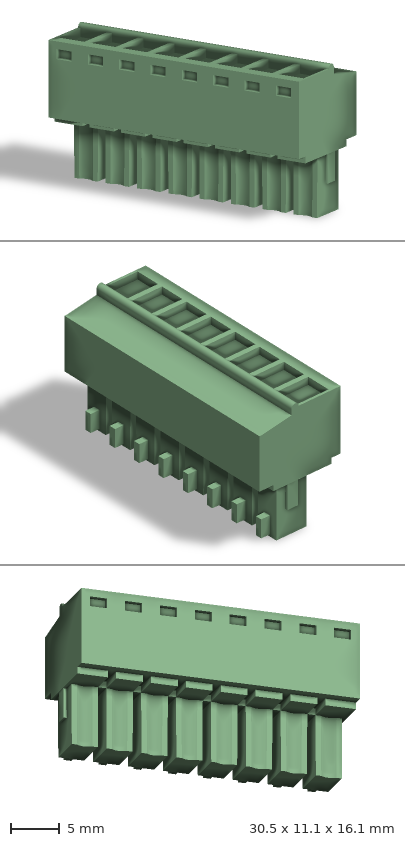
import cadquery as cq


POLES = 8
LENGTH = 30.48
PITCH = LENGTH / POLES
POLE_CENTRES = [(i - (POLES - 1) / 2) * PITCH for i in range(POLES)]

DEPTH = 11.1
LIP_BOTTOM = 6.6
HOUSING_BOTTOM = 7.35
BACK_TOP = 14.15
SLOPE_TOP = 14.85
OVERALL_HEIGHT = 16.1
BEAD_RADIUS = 0.5
DECK_TOP = OVERALL_HEIGHT - BEAD_RADIUS
LIP_FRONT = 1.22
LIP_BACK = 9.17
BACK_LAND = 0.37
BEAD_BACK = 6.7
BEAD_FRONT = BEAD_BACK - 2 * BEAD_RADIUS

POCKET_WIDTH = 3.17
POCKET_FRONT = 1.37
POCKET_DEPTH = 0.98
WINDOW_WIDTH = 1.85
WINDOW_BOTTOM = 13.72
WINDOW_HEIGHT = 1.07
WINDOW_DEPTH = 0.65

PLUG_FRONT = 4.25
PLUG_BACK = 8.35
PLUG_TOP_WIDTH = 2.93
GROOVE_TOP_WIDTH = 1.75
GROOVE_DEPTH = 0.27
TAPER = 0.1

LATCH_WIDTH = 0.82
LATCH_BACK = 9.55
LATCH_ROOT = PLUG_BACK - 0.3
LATCH_BOTTOM = 0.27
LATCH_TOP = 2.6

RIB_END_GAP = 0.12
RIB_FRONT = 5.7
RIB_BACK = 7.15
RIB_BOTTOM = 3.38


def block(x_range, y_range, z_range):
    """Box between the given limits along each axis."""
    (x0, x1), (y0, y1), (z0, z1) = x_range, y_range, z_range
    return cq.Workplane("XY").box(x1 - x0, y1 - y0, z1 - z0, centered=False).translate((x0, y0, z0))


def span(centre, width):
    return (centre - width / 2, centre + width / 2)


def housing_blank():
    """Side profile with the lip, the sloped back and the round bead, run along the row."""
    return (
        cq.Workplane("YZ", origin=(-LENGTH / 2, 0, 0))
        .moveTo(0, HOUSING_BOTTOM)
        .lineTo(LIP_FRONT, HOUSING_BOTTOM)
        .lineTo(LIP_FRONT, LIP_BOTTOM)
        .lineTo(LIP_BACK, LIP_BOTTOM)
        .lineTo(LIP_BACK, HOUSING_BOTTOM)
        .lineTo(DEPTH, HOUSING_BOTTOM)
        .lineTo(DEPTH, BACK_TOP)
        .lineTo(DEPTH - BACK_LAND, BACK_TOP)
        .lineTo(BEAD_BACK, SLOPE_TOP)
        .lineTo(BEAD_BACK, DECK_TOP)
        .threePointArc((BEAD_BACK - BEAD_RADIUS, OVERALL_HEIGHT), (BEAD_FRONT, DECK_TOP))
        .lineTo(0, DECK_TOP)
        .close()
        .extrude(LENGTH)
    )


def pocket(x):
    return block(span(x, POCKET_WIDTH), (POCKET_FRONT, BEAD_FRONT), (DECK_TOP - POCKET_DEPTH, DECK_TOP))


def window(x):
    return block(span(x, WINDOW_WIDTH), (0, WINDOW_DEPTH), (WINDOW_BOTTOM, WINDOW_BOTTOM + WINDOW_HEIGHT))


def lip_notch(x):
    """Notch in the front of the lip, as wide as the gap between two plugs."""
    return block(span(x, PITCH - PLUG_TOP_WIDTH), (LIP_FRONT, PLUG_FRONT), (LIP_BOTTOM, HOUSING_BOTTOM))


def make_housing():
    body = housing_blank()
    for x in POLE_CENTRES:
        body = body.cut(pocket(x)).cut(window(x))
    for x in POLE_CENTRES[:-1]:
        body = body.cut(lip_notch(x + PITCH / 2))
    return body


def plug_section(x, z, shrink):
    """Plug outline at one height, with the shallow round groove in its front."""
    half_width = (PLUG_TOP_WIDTH - shrink) / 2
    half_groove = (GROOVE_TOP_WIDTH - shrink) / 2
    outline = (
        cq.Workplane("XY", origin=(x, 0, z))
        .moveTo(-half_width, PLUG_BACK)
        .lineTo(-half_width, PLUG_FRONT)
        .lineTo(-half_groove, PLUG_FRONT)
        .threePointArc((0, PLUG_FRONT + GROOVE_DEPTH), (half_groove, PLUG_FRONT))
        .lineTo(half_width, PLUG_FRONT)
        .lineTo(half_width, PLUG_BACK)
        .close()
    )
    return outline.val()


def guide_rib(x):
    """Rib on the side of an end plug that faces the end of the housing."""
    side = 1 if x > 0 else -1
    x_limits = sorted((x, side * (LENGTH / 2 - RIB_END_GAP)))
    return block(x_limits, (RIB_FRONT, RIB_BACK), (RIB_BOTTOM, LIP_BOTTOM))


def make_plug(x):
    sections = [plug_section(x, 0, TAPER), plug_section(x, LIP_BOTTOM, 0)]
    plug = cq.Workplane(cq.Solid.makeLoft(sections, True))
    latch = block(span(x, LATCH_WIDTH), (LATCH_ROOT, LATCH_BACK), (LATCH_BOTTOM, LATCH_TOP))
    plug = plug.union(latch)
    if x in (POLE_CENTRES[0], POLE_CENTRES[-1]):
        plug = plug.union(guide_rib(x))
    return plug


housing = make_housing()
plugs = [make_plug(x) for x in POLE_CENTRES]

result = cq.Compound.makeCompound([housing.val(), *[plug.val() for plug in plugs]])